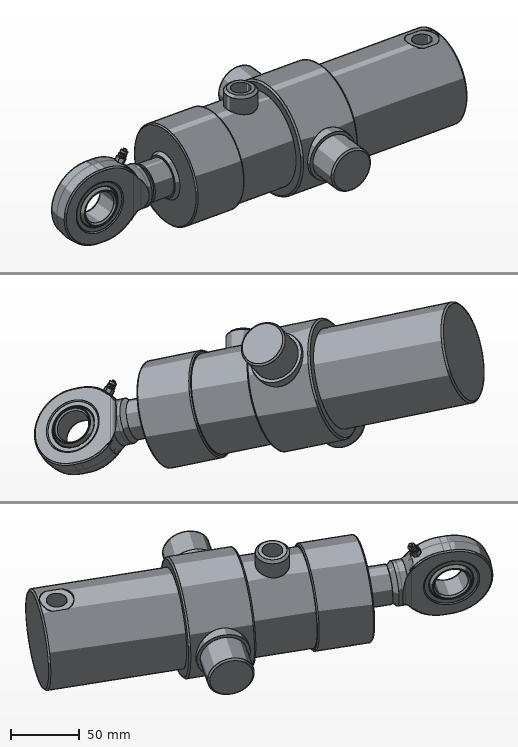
import cadquery as cq
import math


overall_length = 340.0
barrel_dia = 75.0
barrel_chamfer = 1.5
gland_front = 96.5
gland_length = 43.0
gland_dia = 80.0
gland_chamfer = 1.0
lip_base_dia = 37.5
lip_front_dia = 33.0
lip_length = 2.7

trunnion_y = 211.8
ring_dia = 90.0
ring_width = 50.3
ring_chamfer = 1.5
trunnion_span = 145.0
trunnion_dia = 35.0
trunnion_chamfer = 1.5
shoulder_span = 96.0
shoulder_dia = 40.0

boss_y = 164.0
boss_dia = 25.0
boss_top = 51.5
boss_chamfer = 2.0
port_dia = 15.0
port_depth = 13.5
drill_tip_angle = 118.0
rear_port_y = overall_length - 14.5
spotface_dia = boss_dia
spotface_depth = 1.7

rod_dia = 30.0
rod_front = 77.2

eye_dia = 64.0
eye_y = eye_dia / 2
eye_stretch = 5.5
eye_thickness = 18.0
eye_draft_angle = 6.0
eye_chamfer = 1.0
seat_dia = 42.0
seat_floor_dia = 40.0
seat_recess = 0.7
ball_dia = 35.5
ball_width = 20.0
ball_groove_dia = 33.5
ball_groove_depth = 1.0
pin_bore_dia = 25.0
pin_bore_chamfer = 1.5

collar_dia = 33.5
collar_front = 70.5
collar_rear = 73.0
joint_dia = 26.0
waist_y = 65.3
waist_dia = 34.0
neck_front = 60.0
neck_front_dia = 45.2
flat_end_y = 62.0
bend_end_y = 67.0
bend_end_half_width = 11.5

nipple_y = 55.0
nipple_z = 25.0
nipple_tilt = 30.0
nipple_root = 3.5
nipple_hex_corners = 7.5
nipple_hex_top = 4.8
nipple_flange_dia = 6.0
nipple_head_dia = 5.5
nipple_groove_dia = 3.0
nipple_tip_dia = 2.6
nipple_flange_bottom = 5.8
nipple_flange_top = 7.0
nipple_head_bottom = 8.0
nipple_head_top = 10.2
nipple_tip_top = 11.5


def cylinder_y(diameter, front, rear):
    """Round bar along Y between two Y positions."""
    return cq.Workplane("XZ", origin=(0, front, 0)).circle(diameter / 2).extrude(front - rear)


def cylinder_x(diameter, length, y):
    """Round bar along X, centred on X = 0."""
    return cq.Workplane("YZ", origin=(0, y, 0)).circle(diameter / 2).extrude(length / 2, both=True)


def cone_y(front_dia, rear_dia, front, rear):
    """Cone frustum along Y, as a revolved half profile."""
    profile = [(0, front), (front_dia / 2, front), (rear_dia / 2, rear), (0, rear)]
    return cq.Workplane("XY").polyline(profile).close().revolve(360, (0, 0), (0, 1))


def port_hole(y, top):
    """Drilled hole going down from Z = top, with a conical drill tip."""
    radius = port_dia / 2
    floor = top - port_depth
    tip = floor - radius / math.tan(math.radians(drill_tip_angle / 2))
    profile = [(0, top), (radius, top), (radius, floor), (0, tip)]
    return cq.Workplane("XZ", origin=(0, y, 0)).polyline(profile).close().revolve(360, (0, 0), (0, 1))


def make_trunnion_ring():
    ring_front = trunnion_y - ring_width / 2
    ring = cylinder_y(ring_dia, ring_front, ring_front + ring_width).edges().chamfer(ring_chamfer)
    shoulders = cylinder_x(shoulder_dia, shoulder_span, trunnion_y)
    trunnions = cylinder_x(trunnion_dia, trunnion_span, trunnion_y).edges().chamfer(trunnion_chamfer)
    return ring.union(shoulders).union(trunnions)


def make_housing():
    gland_rear = gland_front + gland_length
    barrel = cylinder_y(barrel_dia, gland_front + gland_length / 2, overall_length)
    barrel = barrel.faces(">Y").chamfer(barrel_chamfer)
    gland = cylinder_y(gland_dia, gland_front, gland_rear).edges().chamfer(gland_chamfer)
    lip = cone_y(lip_front_dia, lip_base_dia, gland_front - lip_length, gland_front)
    boss = cq.Workplane("XY", origin=(0, boss_y, 0)).circle(boss_dia / 2).extrude(boss_top)
    boss = boss.faces(">Z").chamfer(boss_chamfer)

    flat_z = barrel_dia / 2 - spotface_depth
    spotface = cq.Workplane("XY", origin=(0, rear_port_y, flat_z)).circle(spotface_dia / 2)
    spotface = spotface.extrude(2 * spotface_depth)
    rod_bore = cylinder_y(rod_dia, gland_front - lip_length, gland_rear)

    housing = barrel.union(gland).union(lip).union(make_trunnion_ring()).union(boss)
    housing = housing.cut(spotface).cut(port_hole(rear_port_y, flat_z))
    return housing.cut(port_hole(boss_y, boss_top)).cut(rod_bore)


def make_rod():
    return cylinder_y(rod_dia, rod_front, gland_front + gland_length)


def make_seat_recess():
    """Recess on the +X face of the eye: a bevelled rim, a flat floor and a groove around the ball."""
    face_x = eye_thickness / 2
    floor_x = face_x - seat_recess
    groove_x = floor_x - ball_groove_depth
    profile = [
        (face_x, 0),
        (face_x, seat_dia / 2),
        (floor_x, seat_floor_dia / 2),
        (floor_x, ball_groove_dia / 2),
        (groove_x, ball_groove_dia / 2),
        (groove_x, 0),
    ]
    return cq.Workplane("XY", origin=(0, eye_y, 0)).polyline(profile).close().revolve(360, (0, 0), (1, 0))


def make_eye_plate():
    """Slightly stretched disc, drafted from its middle plane, with a bearing seat on both sides."""
    half_thickness = eye_thickness / 2
    half_plate = (
        cq.Workplane("YZ", origin=(0, eye_y + eye_stretch / 2, 0))
        .slot2D(eye_dia + eye_stretch, eye_dia)
        .extrude(half_thickness, taper=eye_draft_angle)
        .faces(">X")
        .chamfer(eye_chamfer)
    )
    half_plate = half_plate.cut(make_seat_recess())
    return half_plate.union(half_plate.mirror("YZ"))


def make_ball():
    """Bearing ball with flat end faces, turned about X."""
    half_width = ball_width / 2
    end_radius = math.sqrt((ball_dia / 2) ** 2 - half_width**2)
    ball = (
        cq.Workplane("XY")
        .moveTo(-half_width, 0)
        .lineTo(-half_width, end_radius)
        .threePointArc((0, ball_dia / 2), (half_width, end_radius))
        .lineTo(half_width, 0)
        .close()
        .revolve(360, (0, 0), (1, 0))
    )
    return ball.translate((0, eye_y, 0))


def make_pin_bore():
    half_width = ball_width / 2
    radius = pin_bore_dia / 2
    mouth = radius + pin_bore_chamfer
    profile = [
        (-half_width, 0),
        (-half_width, mouth),
        (pin_bore_chamfer - half_width, radius),
        (half_width - pin_bore_chamfer, radius),
        (half_width, mouth),
        (half_width, 0),
    ]
    return cq.Workplane("XY", origin=(0, eye_y, 0)).polyline(profile).close().revolve(360, (0, 0), (1, 0))


def make_neck():
    """Collar against the rod, and the neck that flattens from it into the eye plate."""
    collar = cylinder_y(collar_dia, collar_front, collar_rear)
    joint = cone_y(collar_dia, joint_dia, collar_rear, rod_front)

    half_plate = eye_thickness / 2
    half_collar = collar_dia / 2
    bend_run = bend_end_y - flat_end_y
    bend_rise = bend_end_half_width - half_plate
    bend_angle = 2 * math.atan2(bend_rise, bend_run)
    bend_radius = bend_run / math.sin(bend_angle)
    mid_x = half_plate + bend_radius * (1 - math.cos(bend_angle / 2))
    mid_y = flat_end_y + bend_radius * math.sin(bend_angle / 2)
    flattened = (
        cq.Workplane("XY")
        .moveTo(0, neck_front)
        .lineTo(half_plate, neck_front)
        .lineTo(half_plate, flat_end_y)
        .threePointArc((mid_x, mid_y), (bend_end_half_width, bend_end_y))
        .lineTo(half_collar, collar_front)
        .lineTo(0, collar_front)
        .close()
        .extrude(neck_front_dia / 2, both=True)
    )
    flattened = flattened.union(flattened.mirror("YZ"))
    flare = cone_y(neck_front_dia, waist_dia, neck_front, waist_y)
    flare = flare.union(cone_y(waist_dia, collar_dia, waist_y, collar_front))
    return collar.union(joint).union(flattened.intersect(flare))


def make_nipple():
    """Grease nipple with a hexagon base and a turned head, tilted from Z towards the rod."""
    hexagon = cq.Workplane("XY", origin=(0, 0, -nipple_root)).polygon(6, nipple_hex_corners)
    nipple = hexagon.extrude(nipple_hex_top + nipple_root)
    turned_steps = [
        (nipple_groove_dia, 0, nipple_head_top),
        (nipple_flange_dia, nipple_flange_bottom, nipple_flange_top),
        (nipple_head_dia, nipple_head_bottom, nipple_head_top),
        (nipple_tip_dia, nipple_head_top, nipple_tip_top),
    ]
    for diameter, bottom, top in turned_steps:
        step = cq.Workplane("XY", origin=(0, 0, bottom)).circle(diameter / 2).extrude(top - bottom)
        nipple = nipple.union(step)
    return nipple.rotate((0, 0, 0), (1, 0, 0), -nipple_tilt).translate((0, nipple_y, nipple_z))


def make_rod_end():
    rod_end = make_eye_plate().union(make_ball()).union(make_neck())
    return rod_end.cut(make_pin_bore()).union(make_nipple())


housing = make_housing()
rod = make_rod()
rod_end = make_rod_end()

result = cq.Compound.makeCompound([housing.val(), rod.val(), rod_end.val()])